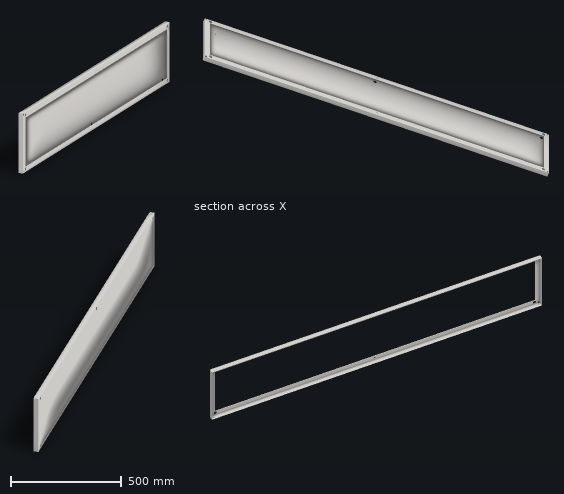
import cadquery as cq

length = 1696.0
height = 282.0
depth = 25.0
sheet = 2.0
bend_radius = 2.5
lip_width = 25.0
corner_relief = 10.0

access_diameter = 16.0
screw_diameter = 7.0
mount_spacing = 1640.0
mount_y = mount_spacing / 2
mount_z = height / 2 - 14.0

small_diameter = 4.2
face_hole_y = length / 2 - 61.0
face_hole_z = height / 2 - 60.0
flange_hole_y = length / 2 - 15.0


def rounded_box(x_size, y_size, z_size, radius):
    """Centred box with the edges around its -X and +X faces rounded."""
    return cq.Workplane("XY").box(x_size, y_size, z_size).edges("<X or >X").fillet(radius)


def mirrored(y, z):
    """The four points placed symmetrically about both centre planes."""
    return [(side_y * y, side_z * z) for side_y in (-1, 1) for side_z in (-1, 1)]


def drills_along_x(points, diameter, x_start):
    """Cylinders that cross half the depth of the panel, starting at x_start."""
    plane = cq.Workplane("YZ", origin=(x_start, 0, 0))
    return plane.pushPoints(points).circle(diameter / 2).extrude(depth / 2)


def folded_shell():
    """Hollow panel with its back opened up to leave the return lips."""
    outside = rounded_box(depth, length, height, bend_radius)
    inside = rounded_box(
        depth - 2 * sheet,
        length - 2 * sheet,
        height - 2 * sheet,
        bend_radius - sheet,
    )
    opening = (
        cq.Workplane("XY")
        .box(depth, length - 2 * lip_width, height - 2 * lip_width)
        .translate((depth / 2, 0, 0))
    )
    return outside.cut(inside).cut(opening)


def corner_reliefs():
    """Blocks that clear the lips and their bends at the four back corners."""
    return (
        cq.Workplane("YZ", origin=(depth / 2 - bend_radius, 0, 0))
        .pushPoints(mirrored(length / 2, height / 2))
        .rect(2 * corner_relief, 2 * corner_relief)
        .extrude(bend_radius)
    )


def flange_drills():
    """Vertical cylinders through both long flanges, one near each end."""
    return (
        cq.Workplane("XY", origin=(0, 0, -height / 2))
        .pushPoints([(0, -flange_hole_y), (0, flange_hole_y)])
        .circle(small_diameter / 2)
        .extrude(height)
    )


corner_mounts = mirrored(mount_y, mount_z)
middle_mounts = [(0, -mount_z), (0, mount_z)]
face_holes = mirrored(face_hole_y, face_hole_z)

panel = folded_shell().cut(corner_reliefs())

panel = panel.cut(drills_along_x(corner_mounts + middle_mounts, access_diameter, -depth / 2))
panel = panel.cut(drills_along_x(face_holes, small_diameter, -depth / 2))

panel = panel.cut(drills_along_x(corner_mounts, access_diameter, 0))
panel = panel.cut(drills_along_x(middle_mounts, screw_diameter, 0))

result = panel.cut(flange_drills())